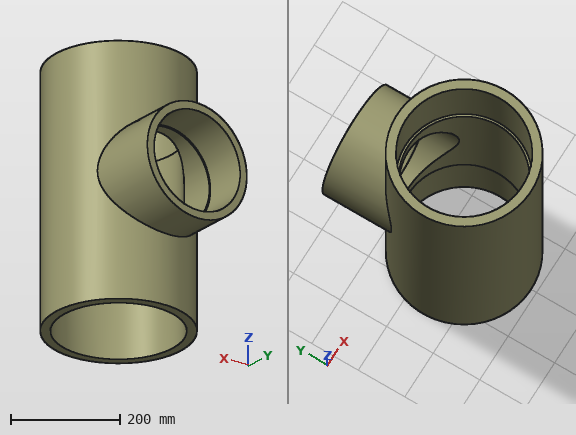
import cadquery as cq

run_length = 520.0
run_outer_diameter = 288.0
run_socket_diameter = 250.0
run_bore_diameter = 240.0
run_socket_depth = 132.5

branch_reach = 234.0
branch_outer_diameter = 232.0
branch_socket_diameter = 200.0
branch_bore_diameter = 195.0
branch_socket_depth = 88.5


def cylinder_along_z(diameter, start, length):
    return cq.Workplane("XY").workplane(offset=start).circle(diameter / 2).extrude(length)


def cylinder_along_y(diameter, start, length):
    return cq.Workplane("XZ").workplane(offset=-start).circle(diameter / 2).extrude(-length)


run_bottom = -run_length / 2
run = cylinder_along_z(run_outer_diameter, run_bottom, run_length)
branch = cylinder_along_y(branch_outer_diameter, 0, branch_reach)
result = run.union(branch)

result = result.cut(cylinder_along_z(run_bore_diameter, run_bottom, run_length))
result = result.cut(cylinder_along_y(branch_bore_diameter, 0, branch_reach))

top_socket_start = run_length / 2 - run_socket_depth
for socket_start in (run_bottom, top_socket_start):
    result = result.cut(cylinder_along_z(run_socket_diameter, socket_start, run_socket_depth))

branch_socket_start = branch_reach - branch_socket_depth
result = result.cut(cylinder_along_y(branch_socket_diameter, branch_socket_start, branch_socket_depth))